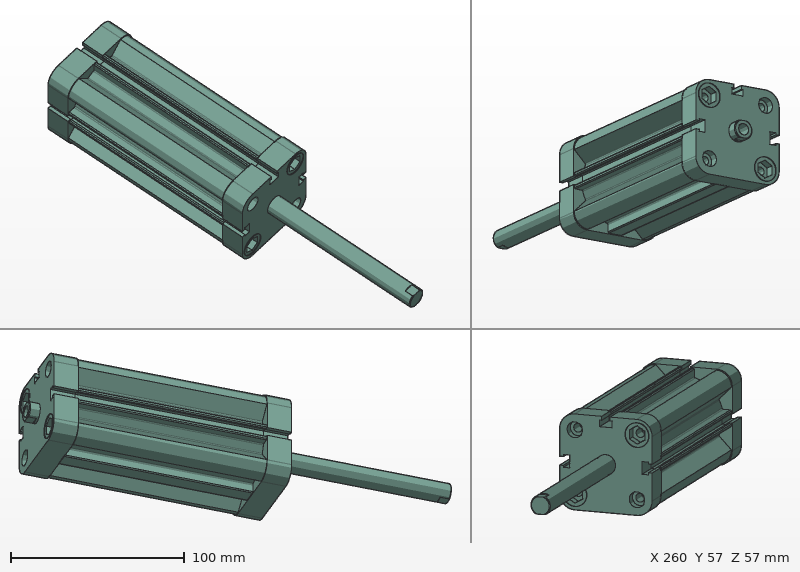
import cadquery as cq
import math

ROD_LENGTH = 260.0
CAP_START = 6.5
CAP_LENGTH = 15.0
TUBE_LENGTH = 116.2
TUBE_START = CAP_START + CAP_LENGTH
REAR_CAP_END = TUBE_START + TUBE_LENGTH + CAP_LENGTH

CAP_SIDE = 57.0
CAP_TOP = CAP_SIDE / 2
CORNER_RADIUS = 9.4

SLOT_MOUTH_WIDTH = 5.2
SLOT_INNER_WIDTH = 7.5
SLOT_LEDGE = CAP_TOP - 2.3
SLOT_FLOOR = CAP_TOP - 6.2

BOLT_OFFSET = CAP_TOP - CORNER_RADIUS
BOLT_DIAMETER = 5.2
SOCKET_WIDTH = 9.4
SOCKET_DEPTH = 5.2
RECESS_DIAMETER = 14.5
RECESS_DEPTH = 0.5

TUBE_SIDE = 56.0
TUBE_TOP = TUBE_SIDE / 2
POST_OFFSET = TUBE_TOP - CORNER_RADIUS
BARREL_RADIUS = 23.0
GROOVE_FILLET = 0.8
RAIL_WIDTH = 10.1
RAIL_CHAMFER = 0.65

ROD_DIAMETER = 12.0
ROD_RADIUS = ROD_DIAMETER / 2
ROD_CHAMFER = 0.5
FLAT_WIDTH = 10.5
FRONT_FLAT_LENGTH = 5.2
REAR_FLAT_LENGTH = 6.0
ROD_HOLE_RADIUS = 3.5
ROD_HOLE_DEPTH = 10.5
DRILL_TIP_ANGLE = 118.0

SIDE_TURNS = (0, 90, 180, 270)
SLOT_TURNS = (0, 90, 270)
ROUND_CORNERS = [(BOLT_OFFSET, -BOLT_OFFSET), (-BOLT_OFFSET, BOLT_OFFSET)]
HEX_CORNERS = [(BOLT_OFFSET, BOLT_OFFSET), (-BOLT_OFFSET, -BOLT_OFFSET)]

TOLERANCE = 0.03


def section(x):
    """Sketch plane across the axis at x, with local x along Y and local y along Z."""
    return cq.Workplane("YZ", origin=(x, 0, 0))


def turned(shape, angle):
    """Copy of a shape turned about the axis."""
    return shape.rotate((0, 0, 0), (1, 0, 0), angle)


def rounded_bar(side, start, length):
    """Square bar with rounded long edges."""
    bar = section(start).rect(side, side).extrude(length)
    return bar.edges("|X").fillet(CORNER_RADIUS)



def cut_slots(body, start, length):
    """Cut the T slots into three of the four sides."""
    half_outline = [
        (SLOT_MOUTH_WIDTH / 2, CAP_TOP),
        (SLOT_MOUTH_WIDTH / 2, SLOT_LEDGE),
        (SLOT_INNER_WIDTH / 2, SLOT_LEDGE),
        (SLOT_INNER_WIDTH / 2, SLOT_FLOOR),
    ]
    other_half = [(-y, z) for y, z in reversed(half_outline)]
    slot = section(start).polyline(half_outline + other_half).close().extrude(length)
    for angle in SLOT_TURNS:
        body = body.cut(turned(slot, angle))
    return body


def cut_bores(body, start, length):
    """Cut the bolt holes at the corners and the rod bore in the middle."""
    corners = ROUND_CORNERS + HEX_CORNERS
    bolts = section(start).pushPoints(corners).circle(BOLT_DIAMETER / 2).extrude(length)
    rod_bore = section(start).circle(ROD_RADIUS).extrude(length)
    return body.cut(bolts).cut(rod_bore)



def hex_socket(y, z):
    """Hexagonal socket with two sides parallel to Z, below the shallow recess."""
    across_corners = SOCKET_WIDTH / math.cos(math.radians(30))
    depth = RECESS_DEPTH + SOCKET_DEPTH
    hexagon = section(CAP_START).polygon(6, across_corners).extrude(depth)
    return turned(hexagon, 30).translate((0, y, z))


def make_front_cap():
    """Cap whose outer face, with the sockets, is at its lower X end."""
    cap = rounded_bar(CAP_SIDE, CAP_START, CAP_LENGTH)
    cap = cut_slots(cap, CAP_START, CAP_LENGTH)
    cap = cut_bores(cap, CAP_START, CAP_LENGTH)
    face = section(CAP_START)
    cap = cap.cut(face.pushPoints(ROUND_CORNERS).circle(SOCKET_WIDTH / 2).extrude(SOCKET_DEPTH))
    cap = cap.cut(face.pushPoints(HEX_CORNERS).circle(RECESS_DIAMETER / 2).extrude(RECESS_DEPTH))
    for y, z in HEX_CORNERS:
        cap = cap.cut(hex_socket(y, z))
    return cap


def make_rear_cap():
    """The front cap mirrored to the other end of the tube."""
    return make_front_cap().mirror("YZ").translate((CAP_START + REAR_CAP_END, 0, 0))



def side_groove():
    """V groove with 45 degree flanks between two neighbouring posts, in the top side."""
    outline = [
        (-POST_OFFSET, TUBE_TOP),
        (POST_OFFSET, TUBE_TOP),
        (0, TUBE_TOP - POST_OFFSET),
    ]
    return section(TUBE_START).polyline(outline).close().extrude(TUBE_LENGTH)


def side_rail():
    """Rail in the middle of the top side, from the axis up to the tube's outer side."""
    middle = section(TUBE_START).center(0, TUBE_TOP / 2)
    return middle.rect(RAIL_WIDTH, TUBE_TOP).extrude(TUBE_LENGTH)


def is_on_barrel(edge):
    center = edge.Center()
    return abs(math.hypot(center.y, center.z) - BARREL_RADIUS) < TOLERANCE


def is_on_rail_top(edge):
    inner, outer = sorted((abs(edge.Center().y), abs(edge.Center().z)))
    return outer > TUBE_TOP - TOLERANCE and inner < RAIL_WIDTH / 2 + TOLERANCE


def long_edges(body, condition):
    """Select the edges along the axis that meet a condition."""
    return body.newObject([edge for edge in body.edges("|X").vals() if condition(edge)])


def make_tube():
    tube = rounded_bar(TUBE_SIDE, TUBE_START, TUBE_LENGTH)
    for angle in SIDE_TURNS:
        tube = tube.cut(turned(side_groove(), angle))
    tube = tube.union(section(TUBE_START).circle(BARREL_RADIUS).extrude(TUBE_LENGTH))
    for angle in SIDE_TURNS:
        tube = tube.union(turned(side_rail(), angle))
    tube = long_edges(tube, is_on_barrel).fillet(GROOVE_FILLET)
    tube = cut_slots(tube, TUBE_START, TUBE_LENGTH)
    tube = long_edges(tube, is_on_rail_top).chamfer(RAIL_CHAMFER)
    return cut_bores(tube, TUBE_START, TUBE_LENGTH)



def cut_flats(rod, start, length):
    """Cut two parallel wrench flats, above and below the axis."""
    blank = section(start).rect(ROD_DIAMETER, ROD_DIAMETER).extrude(length)
    between_flats = section(start).rect(ROD_DIAMETER, FLAT_WIDTH).extrude(length)
    return rod.cut(blank.cut(between_flats))


def make_rod():
    """Rod with chamfered ends, a blind drilled hole in the front end and flats at both ends."""
    tip_length = ROD_HOLE_RADIUS / math.tan(math.radians(DRILL_TIP_ANGLE / 2))
    profile = [
        (ROD_HOLE_DEPTH + tip_length, 0),
        (ROD_HOLE_DEPTH, ROD_HOLE_RADIUS),
        (0, ROD_HOLE_RADIUS),
        (0, ROD_RADIUS - ROD_CHAMFER),
        (ROD_CHAMFER, ROD_RADIUS),
        (ROD_LENGTH - ROD_CHAMFER, ROD_RADIUS),
        (ROD_LENGTH, ROD_RADIUS - ROD_CHAMFER),
        (ROD_LENGTH, 0),
    ]
    rod = cq.Workplane("XZ").polyline(profile).close().revolve(360, (0, 0, 0), (1, 0, 0))
    rod = cut_flats(rod, 0, FRONT_FLAT_LENGTH)
    return cut_flats(rod, ROD_LENGTH - REAR_FLAT_LENGTH, REAR_FLAT_LENGTH)


front_cap = make_front_cap()
rear_cap = make_rear_cap()
tube = make_tube()
rod = make_rod()

result = cq.Compound.makeCompound([front_cap.val(), rear_cap.val(), tube.val(), rod.val()])